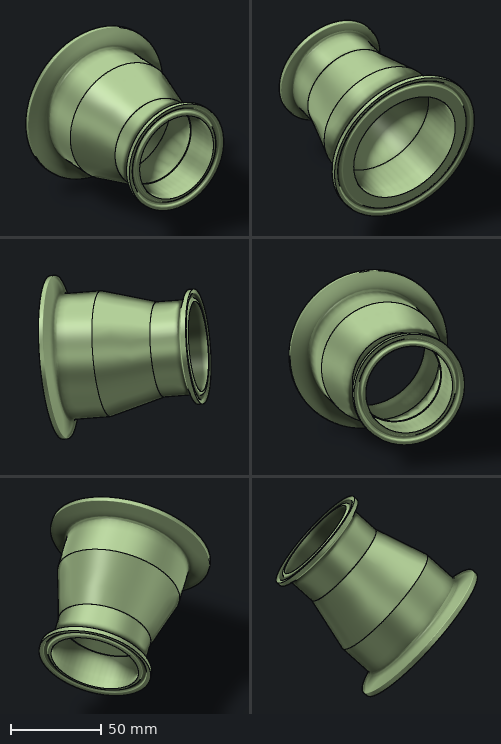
import cadquery as cq
import math


total_length = 80.5
large_ferrule_length = 28.0
small_ferrule_length = 21.5

large_tube_diameter = 70.0
large_bore_diameter = 66.0
large_flange_diameter = 91.0

small_tube_diameter = 53.0
small_bore_diameter = 50.0
small_flange_diameter = 64.0

reducer_wall = (large_tube_diameter - large_bore_diameter) / 2
reducer_small_bore_diameter = small_tube_diameter - 2 * reducer_wall

flange_back_thickness = 2.85
flange_back_angle = 20.0
rim_round_radius = 0.55
neck_fillet_radius = 2.0

groove_inset = 3.75
groove_arc_radius = 1.2
groove_lip_radius = 0.8
groove_wall_length = 0.45
groove_wall_angle = 70.0

large_joint_x = large_ferrule_length
small_joint_x = total_length - small_ferrule_length
reducer_length = small_joint_x - large_joint_x

AXIS_START = (0, 0, 0)
AXIS_END = (1, 0, 0)
SELECTION_MARGIN = 0.01


def revolve_about_x(profile):
    return profile.revolve(360, AXIS_START, AXIS_END)


def arc_point(center, radius, angle):
    """Point on a circle, with the angle in degrees from the X direction."""
    return (
        center[0] + radius * math.cos(math.radians(angle)),
        center[1] + radius * math.sin(math.radians(angle)),
    )


def circles_at(x):
    """Selector for the circular edges centred on the axis at the given x."""
    low_corner = (x - SELECTION_MARGIN, -SELECTION_MARGIN, -SELECTION_MARGIN)
    high_corner = (x + SELECTION_MARGIN, SELECTION_MARGIN, SELECTION_MARGIN)
    return cq.selectors.BoxSelector(low_corner, high_corner)


def gasket_groove(center_radius):
    """Ring that cuts the gasket groove into a sealing face at x = 0."""
    wall_angle = math.radians(groove_wall_angle)
    wall_depth = groove_wall_length * math.sin(wall_angle)
    wall_width = groove_wall_length * math.cos(wall_angle)
    curve_radii = groove_arc_radius + groove_lip_radius
    half_width = curve_radii * math.sin(wall_angle) + wall_width
    depth = curve_radii * (1 - math.cos(wall_angle)) + wall_depth

    inner_edge = center_radius - half_width
    outer_edge = center_radius + half_width
    inner_lip_center = (groove_lip_radius, inner_edge)
    outer_lip_center = (groove_lip_radius, outer_edge)
    floor_center = (depth - groove_arc_radius, center_radius)

    profile = (
        cq.Workplane("XY")
        .moveTo(0, inner_edge)
        .threePointArc(
            arc_point(inner_lip_center, groove_lip_radius, 180 - groove_wall_angle / 2),
            arc_point(inner_lip_center, groove_lip_radius, 180 - groove_wall_angle),
        )
        .lineTo(*arc_point(floor_center, groove_arc_radius, -groove_wall_angle))
        .threePointArc(
            (depth, center_radius),
            arc_point(floor_center, groove_arc_radius, groove_wall_angle),
        )
        .lineTo(*arc_point(outer_lip_center, groove_lip_radius, 180 + groove_wall_angle))
        .threePointArc(
            arc_point(outer_lip_center, groove_lip_radius, 180 + groove_wall_angle / 2),
            (0, outer_edge),
        )
        .close()
    )
    return revolve_about_x(profile)


def clamp_ferrule(length, flange_diameter, tube_diameter, bore_diameter):
    """Ferrule with its sealing face at x = 0 and its tube running toward +X."""
    flange_radius = flange_diameter / 2
    tube_radius = tube_diameter / 2
    bore_radius = bore_diameter / 2
    back_slope = math.tan(math.radians(flange_back_angle))
    neck_x = flange_back_thickness + (flange_radius - tube_radius) * back_slope

    body = revolve_about_x(
        cq.Workplane("XY").polyline([
            (0, bore_radius),
            (0, flange_radius),
            (flange_back_thickness, flange_radius),
            (neck_x, tube_radius),
            (length, tube_radius),
            (length, bore_radius),
        ]).close()
    )
    body = body.edges(circles_at(flange_back_thickness)).fillet(rim_round_radius)
    body = body.edges(circles_at(neck_x)).fillet(neck_fillet_radius)
    return body.cut(gasket_groove(flange_radius - groove_inset))


def tapered_plug(large_diameter, small_diameter):
    """Solid taper spanning the reducer, from the large joint to the small joint."""
    return (
        cq.Workplane("YZ", origin=(large_joint_x, 0, 0))
        .circle(large_diameter / 2)
        .workplane(offset=reducer_length)
        .circle(small_diameter / 2)
        .loft()
    )


large_ferrule = clamp_ferrule(
    large_ferrule_length,
    large_flange_diameter,
    large_tube_diameter,
    large_bore_diameter,
)

reducer = tapered_plug(large_tube_diameter, small_tube_diameter).cut(
    tapered_plug(large_bore_diameter, reducer_small_bore_diameter)
)

small_ferrule = clamp_ferrule(
    small_ferrule_length,
    small_flange_diameter,
    small_tube_diameter,
    small_bore_diameter,
).rotate((0, 0, 0), (0, 0, 1), 180).translate((total_length, 0, 0))

result = cq.Compound.makeCompound([
    large_ferrule.val(),
    reducer.val(),
    small_ferrule.val(),
])